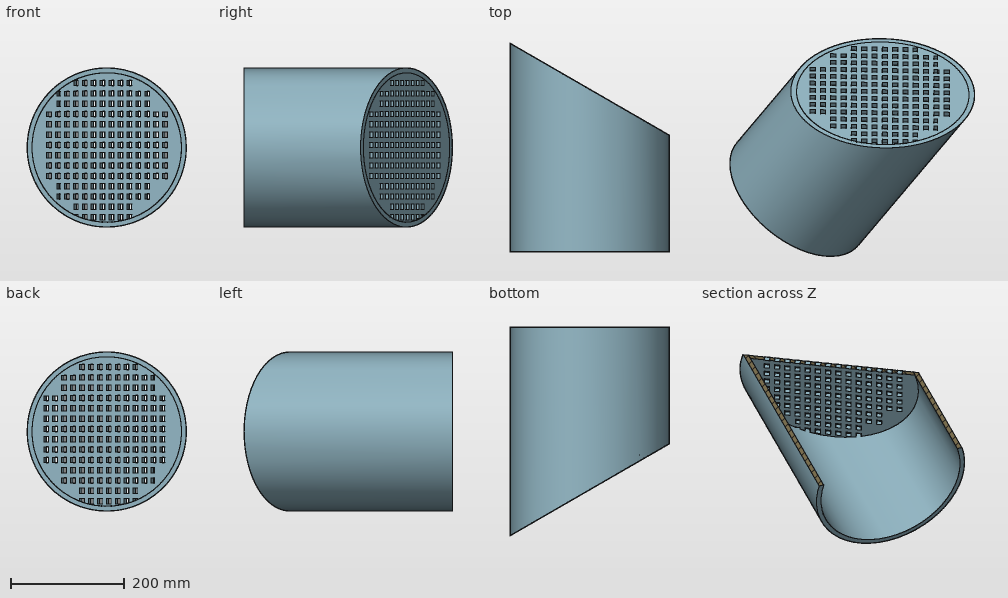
import cadquery as cq
import math

outer_diameter = 280.0
bore_diameter = 263.0
long_side = 366.5
slant_angle = math.radians(30)
axis_length = long_side - outer_diameter / 2 * math.tan(slant_angle)

plate_thickness = 8.8

hole_size = 9.0
grid_count = 14
grid_span = 235.7
hole_pitch = grid_span / (grid_count - 1)
first_column = -112.5
first_row = 113.3

hole_fields = [
    (3, 9, 0, 13, 1.5, 0.0),
    (1, 11, 1, 11, 3.0, 1.0),
    (0, 13, 3, 9, 0.0, 1.0),
]

slant_plane = cq.Plane(
    origin=(0, axis_length, 0),
    xDir=(math.cos(slant_angle), -math.sin(slant_angle), 0),
    normal=(-math.sin(slant_angle), -math.cos(slant_angle), 0),
)


def slanted_slab(thickness):
    """Large slab from the slanted plane into the tube."""
    span = 4 * long_side
    return cq.Workplane(slant_plane).rect(span, span).extrude(thickness)


def rod(diameter):
    """Full-length round bar on the tube axis."""
    return cq.Workplane("XZ").circle(diameter / 2).extrude(-long_side)


def make_tube():
    """Hollow tube with one square end and one slanted end."""
    return rod(outer_diameter).cut(rod(bore_diameter)).intersect(slanted_slab(2 * long_side))


def make_hole(column, row, side_trim, top_trim):
    """Cutter for one hole, trimmed on its upslope side and at its top."""
    x = first_column + column * hole_pitch + side_trim / 2
    y = first_row - row * hole_pitch - top_trim / 2
    hole = cq.Workplane(slant_plane).center(x, y).rect(hole_size - side_trim, hole_size - top_trim)
    return hole.extrude(plate_thickness).val()


def make_hole_field(column_start, column_end, row_start, row_end, side_trim, top_trim):
    """Cutters for one rectangular field of holes."""
    cutters = []
    for column in range(column_start, column_end + 1):
        for row in range(row_start, row_end + 1):
            hole_side_trim = side_trim if column == column_start else 0
            hole_top_trim = top_trim if row == row_start else 0
            cutters.append(make_hole(column, row, hole_side_trim, hole_top_trim))
    return cq.Workplane(cq.Compound.makeCompound(cutters))


def make_grille():
    """Perforated elliptical plate that fills the bore."""
    plate = rod(bore_diameter).intersect(slanted_slab(plate_thickness))
    for field in hole_fields:
        plate = plate.cut(make_hole_field(*field))
    return plate


tube = make_tube()
grille = make_grille()
result = cq.Compound.makeCompound([tube.val(), grille.val()])